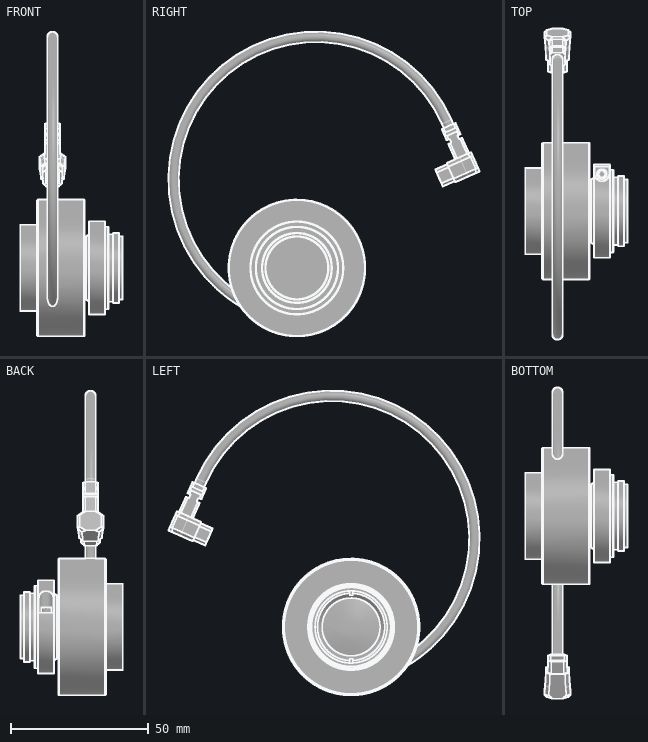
import cadquery as cq
import math

hood_radius = 15.8
hood_length = 6.0
body_radius = 25.0
body_end = 23.5
neck_radius = 11.3
neck_step = 24.1
neck_step_radius = 11.6
neck_shoulder_radius = 12.2
clamp_start = 25.0
clamp_end = 31.0
clamp_radius = 17.1
flange_end = 32.3
flange_radius = 15.1
relief_radius = 12.4
relief_end = 34.0
thread_radius = 12.9
thread_end = 36.3
pilot_radius = 11.6
barrel_length = 37.5
small_chamfer = 0.2
body_chamfer = 0.6

lip_inner_radius = 15.5
rim_seat_radius = 15.0
rim_seat_depth = 0.3
groove_radius = 14.5
groove_depth = 1.7
retainer_radius = 13.2
retainer_depth = 0.8
cone_front_radius = 12.3
lens_radius = 10.6
lens_edge_depth = 2.5
lens_apex_depth = 0.7
spanner_slot_width = 1.0
spanner_slot_depth = 0.7

screw_x = (clamp_start + clamp_end) / 2
screw_y = 13.5
screw_pocket_radius = 2.6
screw_floor_z = 5.1
screw_head_radius = 1.8
screw_head_height = 2.0
screw_hex_flats = 2.3
screw_hex_depth = 1.1

cable_x = 11.8
cable_radius = 1.9
arc_radius = 52.1
arc_center_y = 7.0
arc_center_z = 32.3
arc_start_angle = -60.0
arc_end_angle = 156.0

cable_stub = 2.3
collar_start = 1.8
collar_end = 6.4
grip_groove_start = 3.5
grip_groove_end = 4.9
grip_groove_depth = 0.5
neck_start = 7.7
neck_width = 5.6
neck_waist = 3.2
neck_thickness = 5.6
neck_chamfer = 0.8
plug_top = 13.9
plug_bottom = 21.6
plug_back = -3.6
plug_front = 10.9
plug_step = 6.1
plug_bend = 1.0
plug_chamfer = 1.5
back_half_width = 4.8
bend_half_width = 4.4
middle_half_width = 4.2
front_half_width = 3.5
front_inset = 0.5
front_chamfer = 1.3
back_chamfer = 0.9
socket_width = 5.0
socket_height = 4.1
socket_depth = 4.5


def barrel():
    c = small_chamfer
    outline = [
        (0, 0),
        (0, hood_radius),
        (hood_length, hood_radius),
        (hood_length, body_radius - body_chamfer),
        (hood_length + body_chamfer, body_radius),
        (body_end - c, body_radius),
        (body_end, body_radius - c),
        (body_end, neck_radius),
        (neck_step, neck_radius),
        (neck_step, neck_step_radius),
        (clamp_start, neck_shoulder_radius),
        (clamp_start, clamp_radius - c),
        (clamp_start + c, clamp_radius),
        (clamp_end - c, clamp_radius),
        (clamp_end, clamp_radius - c),
        (clamp_end, flange_radius),
        (flange_end - c, flange_radius),
        (flange_end, flange_radius - c),
        (flange_end, relief_radius),
        (relief_end - c, relief_radius),
        (relief_end, thread_radius),
        (thread_end - c, thread_radius),
        (thread_end, thread_radius - c),
        (thread_end, pilot_radius),
        (barrel_length - c, pilot_radius),
        (barrel_length, pilot_radius - c),
        (barrel_length, 0),
    ]
    return cq.Workplane("XY").polyline(outline).close().revolve(360, (0, 0, 0), (1, 0, 0))


def front_opening():
    sag = lens_edge_depth - lens_apex_depth
    dome_radius = (lens_radius**2 + sag**2) / (2 * sag)
    half_angle = math.asin(lens_radius / dome_radius) / 2
    dome_mid = (
        lens_apex_depth + dome_radius * (1 - math.cos(half_angle)),
        dome_radius * math.sin(half_angle),
    )
    bore = (
        cq.Workplane("XY")
        .polyline([
            (lens_apex_depth, 0),
            (0, 0),
            (0, lip_inner_radius),
            (rim_seat_depth, rim_seat_radius),
            (rim_seat_depth, groove_radius),
            (groove_depth, groove_radius),
            (groove_depth, retainer_radius),
            (retainer_depth, retainer_radius),
            (retainer_depth, cone_front_radius),
            (lens_edge_depth, lens_radius),
        ])
        .threePointArc(dome_mid, (lens_apex_depth, 0))
        .close()
        .revolve(360, (0, 0, 0), (1, 0, 0))
    )
    slots = (
        cq.Workplane("YZ", origin=(retainer_depth, 0, 0))
        .rect(spanner_slot_width, 2 * retainer_radius)
        .extrude(spanner_slot_depth)
    )
    core = cq.Workplane("YZ", origin=(retainer_depth, 0, 0)).circle(lens_radius).extrude(spanner_slot_depth)
    return bore.union(slots.cut(core))


def screw_pocket():
    pocket_height = clamp_radius - screw_floor_z
    floor = cq.Workplane("XY", origin=(screw_x, screw_y, screw_floor_z))
    round_end = floor.circle(screw_pocket_radius).extrude(pocket_height)
    open_side = (
        floor.center(0, screw_pocket_radius)
        .rect(2 * screw_pocket_radius, 2 * screw_pocket_radius)
        .extrude(pocket_height)
    )
    return round_end.union(open_side)


def screw_head():
    floor = cq.Workplane("XY", origin=(screw_x, screw_y, screw_floor_z))
    head = floor.circle(screw_head_radius).extrude(screw_head_height)
    hex_diameter = screw_hex_flats / math.cos(math.pi / 6)
    socket = (
        floor.workplane(offset=screw_head_height - screw_hex_depth)
        .polygon(6, hex_diameter)
        .extrude(screw_hex_depth)
    )
    return head.cut(socket)


def arc_point(angle):
    a = math.radians(angle)
    return (arc_center_y - arc_radius * math.cos(a), arc_center_z + arc_radius * math.sin(a))


def cable():
    start = arc_point(arc_start_angle)
    middle = arc_point((arc_start_angle + arc_end_angle) / 2)
    end = arc_point(arc_end_angle)
    path = cq.Workplane("YZ", origin=(cable_x, 0, 0)).moveTo(*start).threePointArc(middle, end)
    a = math.radians(arc_start_angle)
    section = cq.Plane(
        origin=(cable_x, *start),
        xDir=(1, 0, 0),
        normal=(0, math.sin(a), math.cos(a)),
    )
    return cq.Workplane(section).circle(cable_radius).sweep(path)


def connector():
    """Built with local x = X, local y = v and local z = u, then placed on the cable end."""
    stub = cq.Workplane("XY").circle(cable_radius).extrude(cable_stub)

    def block(start, end, width_x, width_v, chamfer):
        box = cq.Workplane("XY", origin=(0, 0, start)).rect(width_x, width_v).extrude(end - start)
        return box.edges("|Z").chamfer(chamfer)

    collar = block(collar_start, collar_end, neck_thickness, neck_width, neck_chamfer)
    groove_mid = (grip_groove_start + grip_groove_end) / 2
    for side in (-1, 1):
        face_x = side * neck_thickness / 2
        groove = (
            cq.Workplane("XZ", origin=(0, neck_width, 0))
            .moveTo(face_x, grip_groove_start)
            .threePointArc((face_x - side * grip_groove_depth, groove_mid), (face_x, grip_groove_end))
            .close()
            .extrude(2 * neck_width)
        )
        collar = collar.cut(groove)
    waist = cq.Workplane("XY", origin=(0, 0, collar_end)).rect(neck_thickness, neck_waist)
    waist = waist.extrude(neck_start - collar_end)
    neck = block(neck_start, plug_top + plug_chamfer, neck_thickness, neck_width, neck_chamfer)

    rear = (
        cq.Workplane("XY", origin=(0, 0, plug_top))
        .polyline([
            (-back_half_width, plug_back + back_chamfer),
            (-back_half_width + back_chamfer, plug_back),
            (back_half_width - back_chamfer, plug_back),
            (back_half_width, plug_back + back_chamfer),
            (bend_half_width, plug_bend),
            (middle_half_width, plug_step),
            (-middle_half_width, plug_step),
            (-bend_half_width, plug_bend),
        ])
        .close()
        .extrude(plug_bottom - plug_top)
        .faces("<Z or >Z")
        .edges("not |X")
        .chamfer(plug_chamfer)
    )
    front = (
        cq.Workplane("XY", origin=(0, 0, plug_top + front_inset))
        .center(0, (plug_bend + plug_front) / 2)
        .rect(2 * front_half_width, plug_front - plug_bend)
        .extrude(plug_bottom - plug_top - 2 * front_inset)
        .edges("|Y")
        .chamfer(front_chamfer)
    )
    socket = (
        cq.Workplane("XZ", origin=(0, plug_front, (plug_top + plug_bottom) / 2))
        .rect(socket_width, socket_height)
        .extrude(socket_depth)
    )
    local = stub.union(collar).union(waist).union(neck).union(rear).union(front).cut(socket)
    a = math.radians(180 - arc_end_angle)
    frame = cq.Plane(
        origin=(cable_x, *arc_point(arc_end_angle)),
        xDir=(1, 0, 0),
        normal=(0, math.sin(a), -math.cos(a)),
    )
    return cq.Workplane(local.val().moved(cq.Location(frame)))


result = (
    barrel()
    .union(cable())
    .cut(front_opening())
    .cut(screw_pocket())
    .union(screw_head())
    .union(connector())
)